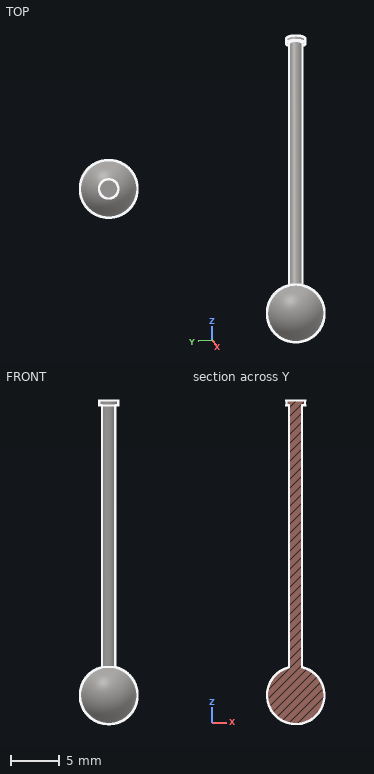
import cadquery as cq

overall_length = 33.5
ball_diameter = 6.0
stem_diameter = 1.4
head_diameter = 2.0
head_thickness = 0.5

ball_radius = ball_diameter / 2
head_top = overall_length - ball_radius
head_bottom = head_top - head_thickness


def make_ball():
    """Full sphere centred on the origin."""
    return cq.Workplane("XY").sphere(ball_radius)


def make_stem():
    """Round stem running from the ball centre up to the underside of the head."""
    return cq.Workplane("XY").circle(stem_diameter / 2).extrude(head_bottom)


def make_head():
    """Thin flat disc closing the upper end of the stem."""
    return (
        cq.Workplane("XY")
        .workplane(offset=head_bottom)
        .circle(head_diameter / 2)
        .extrude(head_thickness)
    )


result = make_ball().union(make_stem()).union(make_head())